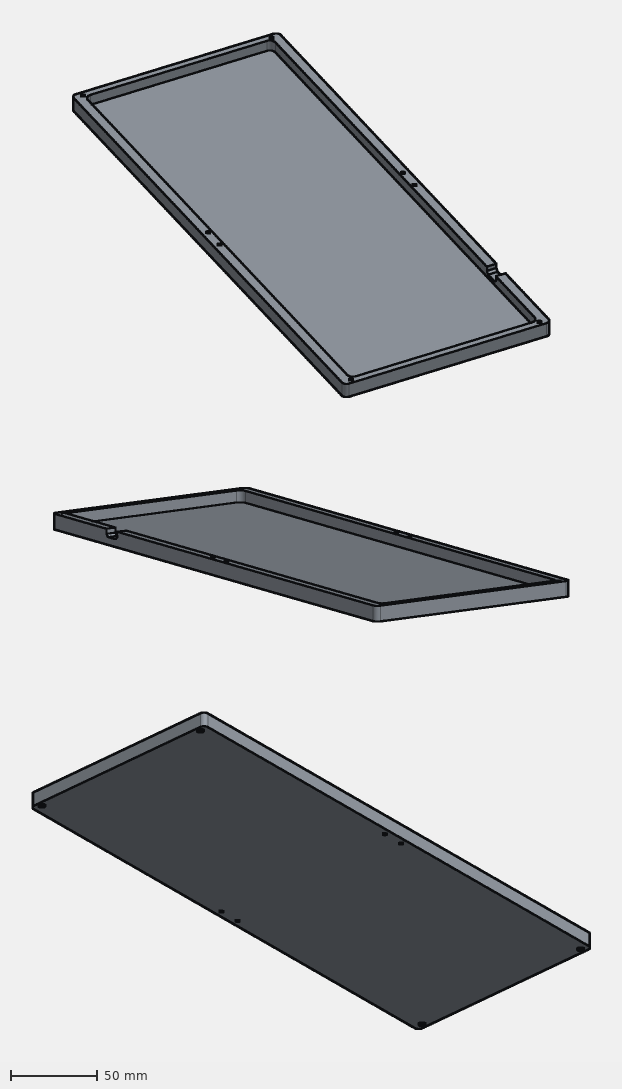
import cadquery as cq

length = 335.0
width = 136.5
height = 9.5
outer_corner_radius = 3.0

side_wall = 4.7
front_wall = 6.5
floor_thickness = 2.5
pocket_corner_radius = 3.7

hole_diameter = 2.3
corner_hole_inset_x = 3.2
corner_hole_inset_y = 6.0
head_diameter = 4.0
head_depth = 1.0
middle_hole_inset_y = 4.0
middle_hole_positions_x = (-7.0, 7.0)

notch_center_x = 106.0
notch_width = 11.0
notch_depth = 4.7
notch_chamfer = 1.7


def rounded_block(size_x, size_y, size_z, radius):
    """Block standing on Z = 0 with rounded vertical edges."""
    block = cq.Workplane("XY").box(size_x, size_y, size_z, centered=(True, True, False))
    return block.edges("|Z").fillet(radius)


def cylinders(points, diameter, depth):
    """Cylinders rising from the underside at the given points."""
    return cq.Workplane("XY").pushPoints(points).circle(diameter / 2).extrude(depth)


def notch_cutter():
    """Channel along Y, open at the top, with chamfered bottom corners."""
    cutter = cq.Workplane("XY").box(notch_width, front_wall, notch_depth, centered=(True, True, False))
    cutter = cutter.edges("|Y and <Z").chamfer(notch_chamfer)
    return cutter.translate((notch_center_x, (width - front_wall) / 2, height - notch_depth))


corner_hole_x = length / 2 - corner_hole_inset_x
corner_hole_y = width / 2 - corner_hole_inset_y
corner_points = [(sx * corner_hole_x, sy * corner_hole_y) for sx in (-1, 1) for sy in (-1, 1)]

middle_hole_y = width / 2 - middle_hole_inset_y
middle_points = [(x, sy * middle_hole_y) for x in middle_hole_positions_x for sy in (-1, 1)]

body = rounded_block(length, width, height, outer_corner_radius)
pocket = rounded_block(
    length - 2 * side_wall,
    width - 2 * front_wall,
    height - floor_thickness,
    pocket_corner_radius,
).translate((0, 0, floor_thickness))

result = (
    body.cut(pocket)
    .cut(cylinders(corner_points + middle_points, hole_diameter, height))
    .cut(cylinders(corner_points, head_diameter, head_depth))
    .cut(notch_cutter())
)